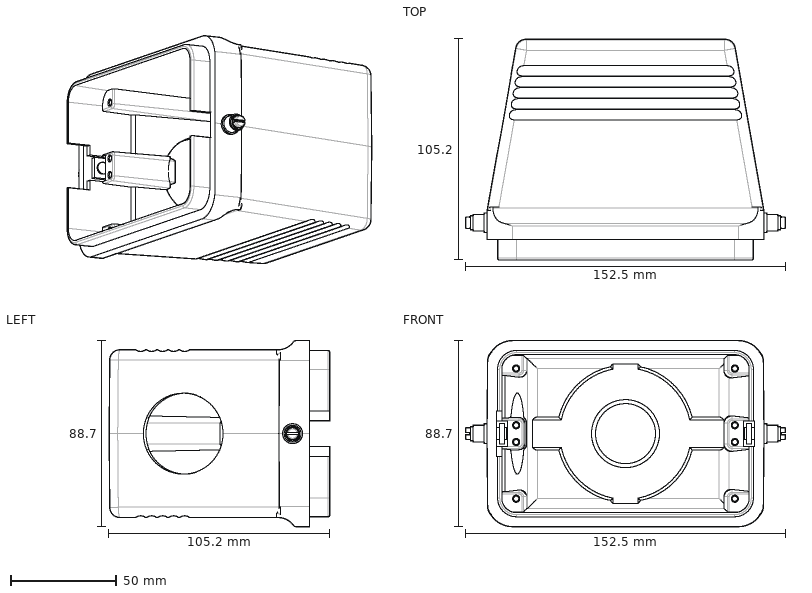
import cadquery as cq
import math


overall_length = 152.47
overall_depth = 105.2
overall_height = 88.7
skirt_depth = 9.7
back_y = overall_depth - skirt_depth
front_y = -skirt_depth
far = 200.0

parting_draft = 0.5
side_draft = 10.0
side_slope = math.tan(math.radians(side_draft))

flange_half_x = 66.0
flange_half_z = overall_height / 2
flange_corner_r = 12.3
flange_side_end_y = 14.5
flange_edge_r = 1.5
flange_edge_y = 7.3
flare_end_y = 15.0
flange_rear_run = 1.0
flange_rear_step = 1.5

hood_half_z = 40.0
hood_half_x_at_face = 68.4
hood_edge_r = 5.0

skirt_half_x = 60.9
skirt_half_z = 39.6
skirt_corner_r = 9.0
skirt_wall = 2.0
rim_edge_r = 1.0

back_wall = 5.0
floor_y = back_y - back_wall
cavity_half_x = skirt_half_x - skirt_wall
cavity_half_z = skirt_half_z - skirt_wall
cavity_floor_half_z = 35.6
cavity_corner_r = skirt_corner_r - skirt_wall
floor_edge_r = 4.8
entry_wall = 6.4
plain_wall = 3.8
entry_ledge_width = 1.6

entry_d = 38.54
entry_y = 60.2

pad_height = 0.6
pad_disc_d = 65.4
pad_arm_x_half_width = 7.9
pad_arm_z_half_width = 7.3
pad_edge_run = 1.4
recess_d = 32.4
recess_depth = 2.0
recess_edge_run = 1.9

post_front_y = 9.0
post_draft = 1.2
post_inner_x = 48.6
post_edge_r = 2.0
post_front_r = 0.8
mid_post_half_z = 7.0
corner_post_inner_z = 28.0
screw_hole_d = 2.5
screw_hole_depth = 12.0
screw_mouth_d = 3.4
screw_x = 52.05
mid_screw_z = 4.0
corner_screw_z = 31.0

pin_y = 8.1
pin_inner_x = 56.7
collar_d = 9.5
collar_end_x = 67.3
shaft_d = 8.0
shaft_end_x = 72.6
neck_d = 6.8
neck_end_x = 73.9
tip_d = 5.7
tip_end_x = overall_length / 2
tip_edge_r = 0.6
slot_width = 1.0
slot_depth = 2.0
rivet_d = 5.7
pocket_half_z = 6.1
pocket_inner_x = 56.2
pocket_outer_x = 61.4
pocket_end_y = 12.8
plate_inner_x = 57.5
plate_outer_x = 60.0
plate_front_y = 3.8
plate_half_z = 4.9

entry_notch_half_z = 10.8
entry_notch_end_y = 2.0

groove_count = 5
groove_pitch = 5.24
first_groove_y = 59.5
groove_width = 4.8
groove_depth = 0.8


def box(x_range, y_range, z_range):
    """Axis-aligned block between the given limits."""
    (x0, x1), (y0, y1), (z0, z1) = x_range, y_range, z_range
    return cq.Workplane("XY").box(x1 - x0, y1 - y0, z1 - z0, centered=False).translate((x0, y0, z0))


def plate_along_y(y_start, y_end, half_x, half_z, corner_r):
    """Rounded rectangular prism running along Y."""
    plate = cq.Workplane("XZ", origin=(0, y_start, 0)).rect(2 * half_x, 2 * half_z)
    return plate.extrude(y_start - y_end).edges("|Y").fillet(corner_r)


def with_mirror_half(half):
    """Complete a +Z half by mirroring it over the parting plane."""
    return half.union(half.mirror("XY"))


def hood_half_x(y):
    return hood_half_x_at_face - side_slope * y


def make_hood():
    """Tapered outer block of the hood with rounded back and long edges."""
    start_y = (hood_half_x_at_face - flange_half_x) / side_slope
    start_half = hood_half_x(start_y)
    back_half = hood_half_x(back_y)
    outline = [(-start_half, start_y), (start_half, start_y), (back_half, back_y), (-back_half, back_y)]
    half = cq.Workplane("XY").polyline(outline).close().extrude(hood_half_z, taper=parting_draft)
    half = half.faces(">Y").edges("not(|X)").fillet(hood_edge_r)
    half = half.faces(">Z").edges("not(<Y)").fillet(hood_edge_r)
    return with_mirror_half(half)


def make_flange():
    """Flange band, flared concavely into the top and bottom of the hood."""
    taper_end_y = flare_end_y + flange_rear_run
    taper_end_half = flange_half_x - flange_rear_step
    outline = [
        (-flange_half_x, -flange_edge_y),
        (flange_half_x, -flange_edge_y),
        (flange_half_x, flange_side_end_y),
        (taper_end_half, taper_end_y),
        (-taper_end_half, taper_end_y),
        (-flange_half_x, flange_side_end_y),
    ]
    half = cq.Workplane("XY").polyline(outline).close().extrude(flange_half_z, taper=parting_draft)
    flange = with_mirror_half(half)
    flange = flange.intersect(plate_along_y(0, far, flange_half_x, flange_half_z, flange_corner_r))

    run = flare_end_y - flange_edge_y
    rise = flange_half_z - hood_half_z
    flare_r = (run**2 + rise**2) / (2 * rise)
    mid_angle = math.asin(run / flare_r) / 2
    mid_y = flare_end_y - flare_r * math.sin(mid_angle)
    mid_z = hood_half_z + flare_r * (1 - math.cos(mid_angle))
    profile = (
        cq.Workplane("YZ", origin=(-far / 2, 0, 0))
        .moveTo(0, 0)
        .lineTo(0, flange_half_z)
        .lineTo(flange_edge_y, flange_half_z)
        .threePointArc((mid_y, mid_z), (flare_end_y, hood_half_z))
        .lineTo(taper_end_y, hood_half_z)
        .lineTo(taper_end_y, 0)
        .close()
        .extrude(far)
        .edges(cq.NearestToPointSelector((0, flange_edge_y, flange_half_z)))
        .fillet(flange_edge_r)
    )
    return flange.intersect(with_mirror_half(profile))


def make_skirt():
    """Skirt that plugs into the mating housing, with a rounded rim."""
    skirt = plate_along_y(front_y, flange_edge_y, skirt_half_x, skirt_half_z, skirt_corner_r)
    return skirt.faces("<Y").edges().fillet(rim_edge_r)


def make_post(x_range, z_range):
    """Screw post on the +X side, widening toward the floor."""
    (x0, x1), (z0, z1) = x_range, z_range
    profile = cq.Sketch().rect(x1 - x0, z1 - z0).vertices().fillet(post_edge_r)
    post = cq.Workplane("XZ", origin=((x0 + x1) / 2, post_front_y, (z0 + z1) / 2)).placeSketch(profile)
    post = post.extrude(post_front_y - back_y, taper=-post_draft)
    return post.faces("<Y").edges().fillet(post_front_r)


def make_posts():
    """Two corner posts and one middle post at each end."""
    outer_x = flange_half_x
    middle = make_post((post_inner_x, outer_x), (-mid_post_half_z, mid_post_half_z))
    corner = make_post((post_inner_x, outer_x), (corner_post_inner_z, flange_half_z))
    end = middle.union(corner).union(corner.mirror("XY"))
    return end.union(end.mirror("YZ"))


def make_floor_pads():
    """Raised disc with four arms on the floor."""
    plane = cq.Workplane("XZ", origin=(0, floor_y, 0))
    angle = math.degrees(math.atan(pad_edge_run / pad_height))
    disc = plane.circle(pad_disc_d / 2).extrude(pad_height, taper=angle)
    x_arms = plane.rect(far, 2 * pad_arm_x_half_width).extrude(pad_height, taper=angle)
    z_arms = plane.rect(2 * pad_arm_z_half_width, far).extrude(pad_height, taper=angle)
    return disc.union(x_arms).union(z_arms)


def make_recess():
    """Round recess with a sloped wall in the middle of the floor pads."""
    top_y = floor_y - pad_height
    angle = math.degrees(math.atan(recess_edge_run / recess_depth))
    return cq.Workplane("XZ", origin=(0, top_y, 0)).circle(recess_d / 2).extrude(-recess_depth, taper=angle)


def make_cavity():
    """Inside space of the hood, without the posts and floor pads."""
    entry_half_at_face = hood_half_x_at_face - entry_wall / math.cos(math.radians(side_draft))
    plain_half_at_face = hood_half_x_at_face - plain_wall / math.cos(math.radians(side_draft))
    ledge_half = cavity_half_x - entry_ledge_width
    ledge_y = (entry_half_at_face - ledge_half) / side_slope
    bend_y = (plain_half_at_face - cavity_half_x) / side_slope
    outline = [
        (-cavity_half_x, front_y),
        (cavity_half_x, front_y),
        (cavity_half_x, bend_y),
        (plain_half_at_face - side_slope * floor_y, floor_y),
        (-(entry_half_at_face - side_slope * floor_y), floor_y),
        (-ledge_half, ledge_y),
        (-cavity_half_x, ledge_y - entry_ledge_width),
    ]
    cavity = cq.Workplane("XY").polyline(outline).close().extrude(cavity_half_z, both=True)
    section = [
        (front_y, cavity_half_z),
        (floor_y, cavity_floor_half_z),
        (floor_y, -cavity_floor_half_z),
        (front_y, -cavity_half_z),
    ]
    cavity = cavity.intersect(cq.Workplane("YZ").polyline(section).close().extrude(far, both=True))
    cavity = cavity.faces(">Y").edges().fillet(floor_edge_r)
    return cavity.intersect(plate_along_y(front_y, back_y, cavity_half_x, cavity_half_z, cavity_corner_r))


def make_cable_entry():
    """Round hole square to the sloped -X end wall."""
    angle = math.radians(side_draft)
    inward = cq.Vector(math.cos(angle), -math.sin(angle), 0)
    mouth = cq.Vector(-hood_half_x(entry_y), entry_y, 0)
    start = mouth - inward * entry_wall
    return cq.Workplane(cq.Solid.makeCylinder(entry_d / 2, 3 * entry_wall, start, inward))


def make_pin():
    """Locking pin on the +X side: rivet end, collar, shaft, neck and slotted tip."""
    sections = [
        (rivet_d, pin_inner_x, flange_half_x),
        (collar_d, pocket_outer_x, collar_end_x),
        (shaft_d, collar_end_x, shaft_end_x),
        (neck_d, shaft_end_x, neck_end_x),
    ]
    tip = cq.Workplane("YZ", origin=(neck_end_x, pin_y, 0)).circle(tip_d / 2).extrude(tip_end_x - neck_end_x)
    pin = tip.faces(">X").edges().fillet(tip_edge_r)
    for diameter, start_x, end_x in sections:
        plane = cq.Workplane("YZ", origin=(start_x, pin_y, 0))
        pin = pin.union(plane.circle(diameter / 2).extrude(end_x - start_x))
    slot = box(
        (tip_end_x - slot_depth, tip_end_x),
        (pin_y - shaft_d, pin_y + shaft_d),
        (-slot_width / 2, slot_width / 2),
    )
    return pin.cut(slot)


def make_pocket():
    """Pocket behind the +X pin; it also cuts the notch in the skirt."""
    return box(
        (pocket_inner_x, pocket_outer_x),
        (front_y, pocket_end_y),
        (-pocket_half_z, pocket_half_z),
    )


def make_plate():
    """Retaining plate standing in the +X pocket; the pin passes through it."""
    return box(
        (plate_inner_x, plate_outer_x),
        (plate_front_y, pocket_end_y),
        (-plate_half_z, plate_half_z),
    )


def make_entry_notch():
    """Notch through the -X skirt wall, wider than the pocket behind it."""
    return box(
        (-pocket_outer_x, -pocket_inner_x),
        (front_y, entry_notch_end_y),
        (-entry_notch_half_z, entry_notch_half_z),
    )


def make_grooves():
    """Rows of shallow cylindrical grip grooves on top and bottom."""
    radius = (groove_depth**2 + (groove_width / 2) ** 2) / (2 * groove_depth)
    axis_z = hood_half_z - groove_depth + radius
    grooves = cq.Workplane()
    for row in range(groove_count):
        groove_y = first_groove_y + row * groove_pitch
        for z in (-axis_z, axis_z):
            grooves = grooves.add(
                cq.Workplane("YZ", origin=(-far / 2, groove_y, z)).circle(radius).extrude(far)
            )
    return grooves.combine()


def make_screw_holes():
    """Blind screw holes in the front ends of the posts."""
    centres = []
    for x in (-screw_x, screw_x):
        for z in (mid_screw_z, corner_screw_z):
            centres += [(x, z), (x, -z)]
    plane = cq.Workplane("XZ", origin=(0, post_front_y, 0))
    holes = plane.pushPoints(centres).circle(screw_hole_d / 2).extrude(-screw_hole_depth)
    mouth_depth = (screw_mouth_d - screw_hole_d) / 2
    mouths = plane.pushPoints(centres).circle(screw_mouth_d / 2).extrude(-mouth_depth, taper=45)
    return holes.union(mouths)


pocket = make_pocket()
plate = make_plate()
pin = make_pin()

hollow = make_cavity().cut(make_posts()).cut(make_floor_pads())

result = make_hood().cut(make_grooves())
result = result.union(make_flange()).union(make_skirt())
result = result.cut(hollow).cut(make_recess()).cut(make_cable_entry()).cut(make_screw_holes())
result = result.cut(make_entry_notch()).cut(pocket).cut(pocket.mirror("YZ"))
result = result.union(plate).union(plate.mirror("YZ"))
result = result.union(pin).union(pin.mirror("YZ"))